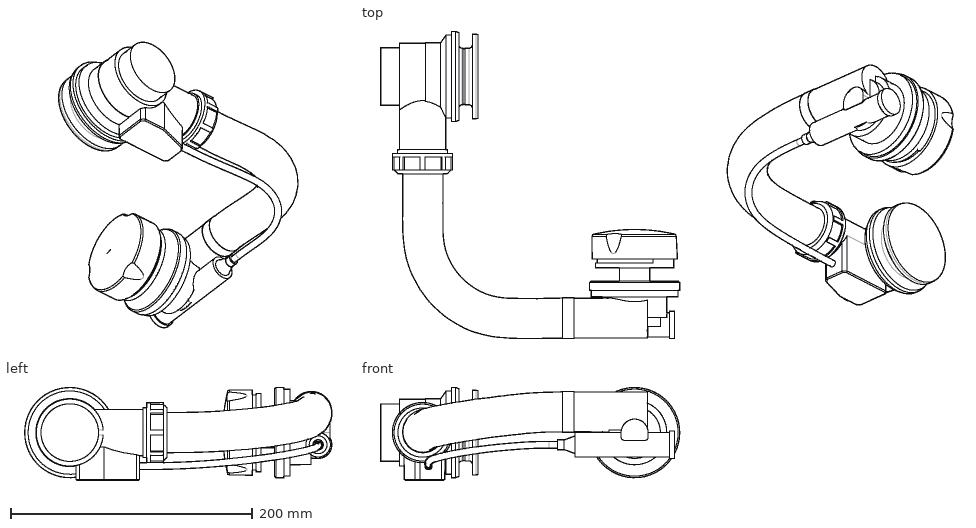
import cadquery as cq
import math


INLET_X, INLET_R = -34.7, 23.9
BODY_X, BODY_R = -19.2, 27.8
BODY_STEP_X, BODY_STEP_R = 2.3, 28.2
CONE_X = 15.1
COLLAR_X, COLLAR_R = 19.6, 34.6
FLANGE_X, FLANGE_R = 24.0, 37.5
FLANGE_BEVEL_X = 27.4
FLANGE_END_X, FLANGE_END_R = 30.3, 36.4
NECK_R = 23.6
NECK_GROOVE_X, NECK_GROOVE_W, NECK_GROOVE_DEPTH = 33.4, 2.0, 0.4
NECK_FLARE = 2.6
GRILLE_X, GRILLE_R = 41.3, 35.2
GRILLE_BEVEL_X = 44.2
GRILLE_END_X, GRILLE_END_R = 46.2, 34.9

OUTLET_R = 19.3
NUT_RING_Y, NUT_RING_R = -60.7, 20.8
NUT_Y, NUT_FLANGE_R = -63.8, 25.0
NUT_CORE_Y, NUT_CORE_R = -66.8, 23.6
NUT_TAPER_Y = -77.6
NUT_END_Y, NUT_END_R = -80.8, 20.4
NUT_RIB_COUNT, NUT_RIB_WIDTH = 8, 4.2

TUBE_X, TUBE_R = 0.3, 16.75
TUBE_RISE = 17.2
TUBE_BEND_R = 72.0
TUBE_RUN_Y = -200.4
SLEEVE_X, SLEEVE_END_X, SLEEVE_R = 116.1, 125.5, 17.0
RUN_END_X, RUN_R = 186.5, 16.6

DRAIN_X = 175.95
CAP_TOP_Y, CAP_RIM_Y, CAP_SIDE_Y, CAP_BOTTOM_Y = -126.8, -130.9, -132.6, -151.4
CAP_R, CAP_RIM_R = 35.4, 34.6
CAP_GROOVE_Y, CAP_GROOVE_R = -154.5, 31.2
CAP_LIP_Y, CAP_LIP_R = -158.7, 32.6
CAP_GROOVE_END = 15.2
STEM_R = 12.6
DRAIN_FLANGE_Y, DRAIN_FLANGE_BACK_Y, DRAIN_FLANGE_R = -169.7, -177.5, 37.5
DRAIN_FLANGE_CHAMFER = 1.2
SEAL_BACK_Y, SEAL_R = -182.7, 36.1
CUP_BACK_Y, CUP_R = -200.1, 26.7
SUMP_BACK_Y, SUMP_R = -207.3, 21.4
NOTCH_COUNT, NOTCH_R, NOTCH_DEPTH, NOTCH_LENGTH = 3, 13.0, 3.4, 16.0

ACTUATOR_Y, ACTUATOR_Z, ACTUATOR_R = -206.0, -10.1, 10.2
ACTUATOR_X = 126.3
TIP_X, TIP_R, SHOULDER_R = 117.2, 4.0, 7.4
FERRULE_X, FERRULE_R = 111.9, 4.3
KNOB_X, KNOB_END_X, KNOB_R = 204.8, 209.2, 11.45
BOSS_R, BOSS_BOTTOM_Z, BOSS_FACE_Y, BOSS_CORNER_R = 11.2, -6.4, -216.0, 2.5

CABLE_R = 2.9
CABLE_X, CABLE_Y, CABLE_Z = 5.0, -57.0, -27.9
CABLE_BEND_R = 75.0
CABLE_END_X = 105.0
HOUSING_LEFT, HOUSING_RIGHT = -15.3, 18.6
HOUSING_BACK, HOUSING_FRONT = -5.0, -58.0
HOUSING_CORNER_Y, HOUSING_FRONT_LEFT = -28.2, -5.2
HOUSING_BOTTOM = -39.75
HOUSING_EDGE_CHAMFER = 3.0
HOUSING_BASE_CHAMFER = 1.0

BEND_SAMPLES = 6
RISE_DELAY = 1.2


def revolve_x(profile, y=0.0, z=0.0):
    """Turn an (x, radius) outline about a line parallel to X."""
    start, end = profile[0][0], profile[-1][0]
    outline = [(start, 0.0)] + profile + [(end, 0.0)]
    solid = cq.Workplane("XY").polyline(outline).close().revolve(360, (0, 0, 0), (1, 0, 0))
    return solid.translate((0, y, z))


def cylinder_x(x0, x1, radius, y=0.0, z=0.0):
    return cq.Workplane("YZ", origin=(x0, y, z)).circle(radius).extrude(x1 - x0)


def cylinder_y(y0, y1, radius, x=0.0):
    """Cylinder parallel to Y from y0 toward -Y, ending at y1."""
    return cq.Workplane("XZ", origin=(x, y0, 0)).circle(radius).extrude(y0 - y1)


def overflow_head():
    head = revolve_x([
        (INLET_X, INLET_R), (BODY_X, INLET_R),
        (BODY_X, BODY_R), (BODY_STEP_X, BODY_R),
        (BODY_STEP_X, BODY_STEP_R), (CONE_X, BODY_STEP_R),
        (COLLAR_X, COLLAR_R), (FLANGE_X, COLLAR_R),
        (FLANGE_X, FLANGE_R), (FLANGE_BEVEL_X, FLANGE_R),
        (FLANGE_END_X, FLANGE_END_R),
    ])
    neck = (
        cq.Workplane("XY")
        .moveTo(FLANGE_END_X, 0)
        .lineTo(FLANGE_END_X, NECK_R + NECK_FLARE)
        .radiusArc((FLANGE_END_X + NECK_FLARE, NECK_R), -NECK_FLARE)
        .lineTo(GRILLE_X - NECK_FLARE, NECK_R)
        .radiusArc((GRILLE_X, NECK_R + NECK_FLARE), -NECK_FLARE)
        .lineTo(GRILLE_X, 0)
        .close()
        .revolve(360, (0, 0, 0), (1, 0, 0))
    )
    groove = (
        cq.Workplane("YZ", origin=(NECK_GROOVE_X, 0, 0))
        .circle(NECK_R + NECK_FLARE)
        .circle(NECK_R - NECK_GROOVE_DEPTH)
        .extrude(NECK_GROOVE_W)
    )
    grille = revolve_x([
        (GRILLE_X, GRILLE_R), (GRILLE_BEVEL_X, GRILLE_R),
        (GRILLE_END_X, GRILLE_END_R),
    ])
    return head.union(neck.cut(groove)).union(grille)


def outlet_with_nut():
    outlet = cylinder_y(0, NUT_RING_Y, OUTLET_R)
    ring = cylinder_y(NUT_RING_Y, NUT_Y, NUT_RING_R)
    flange = cylinder_y(NUT_Y, NUT_CORE_Y, NUT_FLANGE_R)
    core = cylinder_y(NUT_CORE_Y, NUT_TAPER_Y, NUT_CORE_R)
    taper = (
        cq.Workplane("XZ", origin=(0, NUT_TAPER_Y, 0))
        .circle(NUT_CORE_R)
        .workplane(offset=NUT_TAPER_Y - NUT_END_Y)
        .circle(NUT_END_R)
        .loft()
    )
    ribs = (
        cq.Workplane("XZ", origin=(0, NUT_CORE_Y, 0))
        .polarArray(NUT_FLANGE_R / 2, 0, 360, NUT_RIB_COUNT)
        .rect(NUT_FLANGE_R, NUT_RIB_WIDTH)
        .extrude(NUT_CORE_Y - NUT_TAPER_Y)
        .intersect(cylinder_y(NUT_CORE_Y, NUT_TAPER_Y, NUT_FLANGE_R))
    )
    return outlet.union(ring).union(flange).union(core).union(taper).union(ribs)


def bent_path(start, end, bend_radius):
    """Smooth curve that leaves along -Y, turns a quarter circle to +X and rises gently."""
    x0, y0, z0 = start
    x1, y1, z1 = end
    straight_y = y0 - (y1 + bend_radius)
    arc_length = bend_radius * math.pi / 2
    total = straight_y + arc_length + (x1 - x0 - bend_radius)

    def height(distance):
        u = (distance / total) ** RISE_DELAY
        return z0 + (z1 - z0) * u * u * (3 - 2 * u)

    points = [cq.Vector(*start), cq.Vector(x0, y0 - straight_y / 2, height(straight_y / 2))]
    for i in range(BEND_SAMPLES + 1):
        angle = i / BEND_SAMPLES * math.pi / 2
        x = x0 + bend_radius * (1 - math.cos(angle))
        y = y1 + bend_radius * (1 - math.sin(angle))
        points.append(cq.Vector(x, y, height(straight_y + bend_radius * angle)))
    points.append(cq.Vector(*end))
    tangents = [cq.Vector(0, -1, 0), cq.Vector(1, 0, 0)]
    return cq.Workplane("XY").add(cq.Edge.makeSpline(points, tangents=tangents)).toPending()


def bent_rod(start, end, bend_radius, radius):
    path = bent_path(start, end, bend_radius)
    return cq.Workplane("XZ", origin=start).circle(radius).sweep(path)


def drain_tube():
    start = (TUBE_X, NUT_END_Y, 0)
    end = (SLEEVE_X, TUBE_RUN_Y, TUBE_RISE)
    bend = bent_rod(start, end, TUBE_BEND_R, TUBE_R)
    sleeve = cylinder_x(SLEEVE_X, SLEEVE_END_X, SLEEVE_R, TUBE_RUN_Y, TUBE_RISE)
    run = cylinder_x(SLEEVE_END_X, RUN_END_X, RUN_R, TUBE_RUN_Y, TUBE_RISE)
    return bend.union(sleeve).union(run)


def drain_cap():
    dome_mid_r = CAP_RIM_R / 2
    dome_mid_y = CAP_TOP_Y + (CAP_RIM_Y - CAP_TOP_Y) / 4
    cap = (
        cq.Workplane("XY")
        .moveTo(0, CAP_TOP_Y)
        .threePointArc((dome_mid_r, dome_mid_y), (CAP_RIM_R, CAP_RIM_Y))
        .lineTo(CAP_R, CAP_SIDE_Y)
        .lineTo(CAP_R, CAP_BOTTOM_Y)
        .lineTo(CAP_GROOVE_R, CAP_BOTTOM_Y)
        .lineTo(CAP_GROOVE_R, CAP_GROOVE_Y)
        .lineTo(CAP_LIP_R, CAP_GROOVE_Y)
        .lineTo(CAP_LIP_R, CAP_LIP_Y)
        .lineTo(0, CAP_LIP_Y)
        .close()
        .revolve(360, (0, 0, 0), (0, 1, 0))
    )
    groove_stop = (
        cylinder_y(CAP_BOTTOM_Y, CAP_GROOVE_Y, CAP_LIP_R)
        .intersect(cylinder_x(CAP_GROOVE_END, CAP_LIP_R, 2 * CAP_LIP_R, CAP_GROOVE_Y))
    )
    cap = cap.union(groove_stop)
    tilt = math.degrees(math.atan2(NOTCH_DEPTH, NOTCH_LENGTH))
    notch = (
        cq.Workplane("XZ")
        .circle(NOTCH_R)
        .extrude(2 * NOTCH_LENGTH, both=True)
        .rotate((0, 0, 0), (0, 0, 1), tilt)
        .translate((CAP_R + NOTCH_R / math.cos(math.radians(tilt)), CAP_RIM_Y - NOTCH_LENGTH, 0))
    )
    for i in range(NOTCH_COUNT):
        cap = cap.cut(notch.rotate((0, 0, 0), (0, 1, 0), i * 360 / NOTCH_COUNT))
    return cap.translate((DRAIN_X, 0, 0))


def drain_fitting():
    stem = cylinder_y(CAP_LIP_Y, DRAIN_FLANGE_Y, STEM_R, DRAIN_X)
    flange = (
        cylinder_y(DRAIN_FLANGE_Y, DRAIN_FLANGE_BACK_Y, DRAIN_FLANGE_R, DRAIN_X)
        .faces(">Y").edges().chamfer(DRAIN_FLANGE_CHAMFER)
    )
    seal = cylinder_y(DRAIN_FLANGE_BACK_Y, SEAL_BACK_Y, SEAL_R, DRAIN_X)
    cup = cylinder_y(SEAL_BACK_Y, CUP_BACK_Y, CUP_R, DRAIN_X)
    sump = cylinder_y(CUP_BACK_Y, SUMP_BACK_Y, SUMP_R, DRAIN_X)
    return drain_cap().union(stem).union(flange).union(seal).union(cup).union(sump)


def trip_actuator():
    barrel = revolve_x([
        (FERRULE_X, FERRULE_R), (TIP_X, FERRULE_R),
        (TIP_X, TIP_R), (ACTUATOR_X, SHOULDER_R),
        (ACTUATOR_X, ACTUATOR_R), (KNOB_X, ACTUATOR_R),
        (KNOB_X, KNOB_R), (KNOB_END_X, KNOB_R),
    ], ACTUATOR_Y, ACTUATOR_Z)
    boss_depth = CUP_BACK_Y - BOSS_FACE_Y
    boss_lower = (
        cq.Workplane("XZ", origin=(DRAIN_X, CUP_BACK_Y, 0))
        .center(0, BOSS_BOTTOM_Z / 2)
        .rect(2 * BOSS_R, -BOSS_BOTTOM_Z)
        .extrude(boss_depth)
        .edges("|Y and <Z").fillet(BOSS_CORNER_R)
    )
    boss_round = cylinder_y(CUP_BACK_Y, BOSS_FACE_Y, BOSS_R, DRAIN_X)
    above_bottom = (
        cq.Workplane("XZ", origin=(DRAIN_X, CUP_BACK_Y, BOSS_R / 2))
        .rect(2 * BOSS_R, BOSS_R)
        .extrude(boss_depth)
    )
    return barrel.union(boss_round.intersect(above_bottom)).union(boss_lower)


def cable():
    start = (CABLE_X, CABLE_Y, CABLE_Z)
    end = (CABLE_END_X, ACTUATOR_Y, ACTUATOR_Z)
    bend = bent_rod(start, end, CABLE_BEND_R, CABLE_R)
    return bend.union(cylinder_x(CABLE_END_X, FERRULE_X, CABLE_R, ACTUATOR_Y, ACTUATOR_Z))


def cable_housing():
    return (
        cq.Workplane("XY", origin=(0, 0, HOUSING_BOTTOM))
        .moveTo(HOUSING_LEFT, HOUSING_BACK)
        .lineTo(HOUSING_LEFT, HOUSING_CORNER_Y)
        .lineTo(HOUSING_FRONT_LEFT, HOUSING_FRONT)
        .lineTo(HOUSING_RIGHT, HOUSING_FRONT)
        .lineTo(HOUSING_RIGHT, HOUSING_BACK)
        .close()
        .extrude(-HOUSING_BOTTOM)
        .edges("|Z and (<Y or >Y)").chamfer(HOUSING_EDGE_CHAMFER)
        .faces("<Z").edges().chamfer(HOUSING_BASE_CHAMFER)
    )


result = overflow_head().union(outlet_with_nut()).union(cable_housing())
result = result.union(drain_tube()).union(drain_fitting())
result = result.union(trip_actuator()).union(cable())